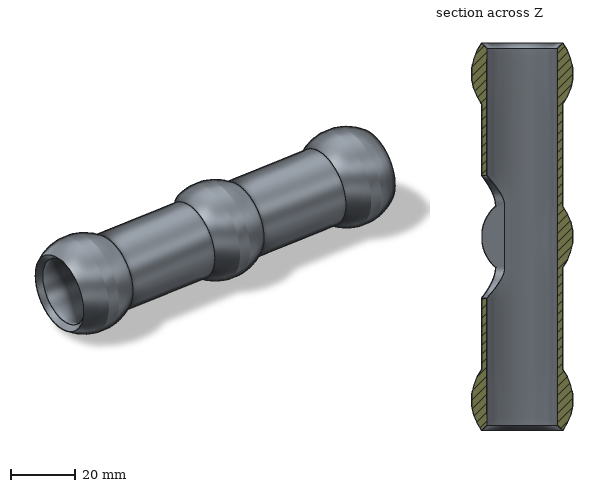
import cadquery as cq
import math

length = 120.6
tube_diameter = 25.3
bore_diameter = 22.0

sphere_diameter = 31.7
crown_diameter = 31.5

lead_in_depth = 1.7

slot_width = 19.1
slot_length = 2 * slot_width

half_length = length / 2
tube_radius = tube_diameter / 2
bore_radius = bore_diameter / 2
sphere_radius = sphere_diameter / 2
crown_radius = crown_diameter / 2

bead_half_width = math.sqrt(sphere_radius**2 - tube_radius**2)
crown_half_width = math.sqrt(sphere_radius**2 - crown_radius**2)

end_bead_y = half_length - bead_half_width
bead_positions = (-end_bead_y, 0, end_bead_y)


def revolve_about_y(profile):
    """Full turn of a closed half-profile drawn in the YZ plane."""
    return profile.revolve(360, (0, 0, 0), (1, 0, 0))


def make_bead(y):
    """Solid bead centred at the given place along the tube."""
    mid_y = (bead_half_width + crown_half_width) / 2
    mid_radius = math.sqrt(sphere_radius**2 - mid_y**2)
    profile = (
        cq.Workplane("YZ")
        .moveTo(-bead_half_width, 0)
        .lineTo(-bead_half_width, tube_radius)
        .threePointArc((-mid_y, mid_radius), (-crown_half_width, crown_radius))
        .lineTo(crown_half_width, crown_radius)
        .threePointArc((mid_y, mid_radius), (bead_half_width, tube_radius))
        .lineTo(bead_half_width, 0)
        .close()
    )
    return revolve_about_y(profile).translate((0, y, 0))


def make_body():
    """Solid tube with its three beads."""
    body = cq.Workplane("XZ").circle(tube_radius).extrude(half_length, both=True)
    for y in bead_positions:
        body = body.union(make_bead(y))
    return body


def make_bore():
    """Through bore with a conical lead-in at both ends."""
    profile = (
        cq.Workplane("YZ")
        .moveTo(-half_length, 0)
        .lineTo(-half_length, tube_radius)
        .lineTo(-half_length + lead_in_depth, bore_radius)
        .lineTo(half_length - lead_in_depth, bore_radius)
        .lineTo(half_length, tube_radius)
        .lineTo(half_length, 0)
        .close()
    )
    return revolve_about_y(profile)


def make_slot():
    """Rounded slot, long along Y, reaching from the axis out past the -X wall."""
    return cq.Workplane("YZ").slot2D(slot_length, slot_width).extrude(-sphere_diameter)


result = make_body().cut(make_bore()).cut(make_slot())